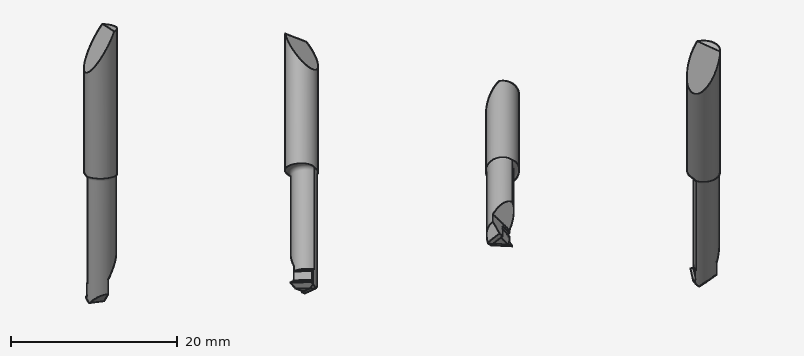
import cadquery as cq
import math

length = 34.0
shank_radius = 2.0
shoulder_z = 16.05
neck_radius = 1.9
neck_fillet = 0.58
relief_radius = 1.95
relief_x = 0.85

bevel_angle = 30.0
clamp_flat_y = 1.02
neck_flat_y = 0.17
neck_flat_top_z = 3.03
nose_flat_x = 0.7
nose_edge_z = 1.22

tip_height = 2.38
tip_split_x = 0.17
tip_rake_y = -0.1
tip_bottom_x = -1.1
edge_x = -1.9
edge_low_z = 0.5
edge_high_z = 0.58
tooth_top_x = -1.5
tooth_top_z = 0.85
core_x = -1.4
core_low_z = 1.02
core_top_z = 2.15
core_shoulder_x = -1.12

clearance = 6.8
inner_x = tip_split_x + clearance
bevel_slope = math.tan(math.radians(bevel_angle))


def flared_round(center_x, radius):
    """Round bar with a concave flare that runs out flat at the shoulder."""
    return (
        cq.Workplane("XZ")
        .lineTo(radius, 0)
        .lineTo(radius, shoulder_z - neck_fillet)
        .radiusArc((radius + neck_fillet, shoulder_z), neck_fillet)
        .lineTo(0, shoulder_z)
        .close()
        .revolve(360, (0, 0, 0), (0, 1, 0))
        .translate((center_x, 0, 0))
    )


def prism_yz(points):
    """Outline in Y and Z, extruded across the whole part in X."""
    return cq.Workplane("YZ").polyline(points).close().extrude(clearance, both=True)


def clamping_flat():
    drop = (clamp_flat_y + clearance) / bevel_slope
    return prism_yz([(clamp_flat_y, length), (-clearance, length - drop), (-clearance, length)])


def neck_flat():
    rise = (clearance - neck_flat_y) / bevel_slope
    return prism_yz([
        (neck_flat_y, 0),
        (clearance, 0),
        (clearance, neck_flat_top_z + rise),
        (neck_flat_y, neck_flat_top_z),
    ])


def nose_flat():
    return (
        cq.Workplane("XZ")
        .polyline([(nose_flat_x, 0), (neck_radius, nose_edge_z), (clearance, nose_edge_z), (clearance, 0)])
        .close()
        .extrude(clearance, both=True)
    )


def tip_space(back_y):
    """Block of space for the cutting tip, open to the front and left, ending at back_y."""
    return (
        cq.Workplane("XY", origin=(tip_split_x, back_y, 0))
        .rect(-clearance, -clearance, centered=False)
        .extrude(tip_height)
    )


def relieved_prism(rake_profile):
    """Profile on the rake face, carried through the part at 45 degrees toward +X and -Y."""
    relief_plane = cq.Plane(origin=(0, tip_rake_y, 0), xDir=(1, 1, 0), normal=(1, -1, 0))
    foreshortening = math.cos(math.radians(45))
    section = [(x * foreshortening, z) for x, z in rake_profile]
    return cq.Workplane(relief_plane).polyline(section).close().extrude(clearance, both=True)


def make_shank():
    shank = (
        cq.Workplane("XY", origin=(0, 0, shoulder_z))
        .circle(shank_radius)
        .extrude(length - shoulder_z)
        .cut(clamping_flat())
    )
    flared_neck = flared_round(0, neck_radius).intersect(flared_round(relief_x, relief_radius))
    flank_profile = [
        (inner_x, 0),
        (tip_bottom_x, 0),
        (edge_x, edge_low_z),
        (edge_x, tip_height),
        (inner_x, tip_height),
    ]
    tail = cq.Workplane("XY").circle(neck_radius).extrude(tip_height)
    upper_neck = flared_neck.intersect(
        cq.Workplane("XY", origin=(0, 0, tip_height)).circle(shank_radius).extrude(shoulder_z - tip_height)
    )
    tail = tail.intersect(relieved_prism(flank_profile)).cut(tip_space(clearance / 2))
    neck = upper_neck.union(tail).cut(neck_flat()).cut(nose_flat())
    return shank.union(neck)


def make_cutting_tip():
    """Tooth and core whose outer faces all run back at 45 degrees from the rake face."""
    rake_profile = [
        (inner_x, 0),
        (tip_bottom_x, 0),
        (edge_x, edge_low_z),
        (edge_x, edge_high_z),
        (tooth_top_x, tooth_top_z),
        (core_x, core_low_z),
        (core_x, core_top_z),
        (core_shoulder_x, tip_height),
        (inner_x, tip_height),
    ]
    tip = relieved_prism(rake_profile)
    round_envelope = cq.Workplane("XY").circle(neck_radius).extrude(tip_height)
    return tip.intersect(tip_space(tip_rake_y)).intersect(round_envelope)


shank_body = make_shank()
cutting_tip = make_cutting_tip()

result = cq.Compound.makeCompound([shank_body.val(), cutting_tip.val()])